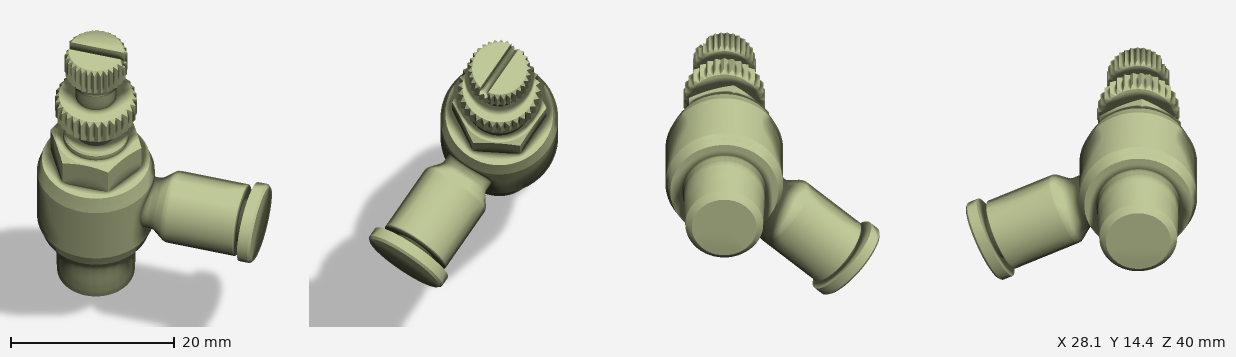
import cadquery as cq
import math

thread_chamfer_top = 0.78
thread_taper_top = 7.65
thread_flare_top = 8.28
body_bottom = 8.55
body_top = 20.5
hex_top = 24.6
collar_top = 25.55
lock_nut_bottom = 28.5
lock_nut_top = 32.05
stem_top = 34.82
knob_bottom = 35.95
knob_top = 40.05

thread_tip_radius = 3.97
thread_small_radius = 4.77
thread_large_radius = 4.98
thread_flare_radius = 5.12

body_radius = 7.2
body_end_radius = 6.6
body_lower_bevel_height = 1.78
body_upper_bevel_height = 1.98

hex_across_flats = 10.0
hex_top_radius = 4.9
hex_foot_radius = 5.4
hex_bevel_angle = 30
collar_radius = 4.0
collar_chamfer = 0.23

stem_radius = 2.5
stem_chamfer = 0.31
stem_neck_radius = 2.17

tooth_count = 30
lock_nut_radius = 5.03
lock_nut_root_radius = 4.47
lock_nut_chamfer = 0.53
lock_nut_tooth_phase = 0.0
knob_radius = 3.85
knob_root_radius = 3.35
knob_chamfer = 0.53
knob_tooth_phase = 0.5
slot_width = 1.15
slot_depth = 1.45

branch_height = 14.66
branch_neck_radius = 3.15
branch_radius = 4.47
branch_cone_start = 7.84
branch_cone_end = 9.58
branch_blend_radius = 0.96
branch_end = 18.53
branch_end_chamfer = 0.1
ring_neck_radius = 2.75
ring_start = 19.3
ring_end = 20.9
ring_half_width = 5.4
ring_half_height = 4.35
ring_chamfer = 0.3


def make_turned_core():
    """Threaded end, body, collar and stem, turned about Z."""
    profile = [
        (0, 0),
        (thread_tip_radius, 0),
        (thread_small_radius, thread_chamfer_top),
        (thread_large_radius, thread_taper_top),
        (thread_flare_radius, thread_flare_top),
        (thread_flare_radius, body_bottom),
        (body_end_radius, body_bottom),
        (body_radius, body_bottom + body_lower_bevel_height),
        (body_radius, body_top - body_upper_bevel_height),
        (body_end_radius, body_top),
        (collar_radius, body_top),
        (collar_radius, collar_top - collar_chamfer),
        (collar_radius - collar_chamfer, collar_top),
        (stem_radius, collar_top),
        (stem_radius, stem_top - stem_chamfer),
        (stem_radius - stem_chamfer, stem_top),
        (stem_neck_radius, stem_top),
        (stem_neck_radius, knob_bottom),
        (0, knob_bottom),
    ]
    return cq.Workplane("XZ").polyline(profile).close().revolve(360, (0, 0), (0, 1))


def make_hexagon():
    """Hexagon with corners on the X axis, bevelled by a cone at its top and at its foot."""
    corner_radius = hex_across_flats / 2 / math.cos(math.pi / 6)
    bevel_slope = math.tan(math.radians(hex_bevel_angle))
    top_bevel_height = (corner_radius - hex_top_radius) * bevel_slope
    foot_bevel_height = (corner_radius - hex_foot_radius) * bevel_slope
    prism = (
        cq.Workplane("XY")
        .workplane(offset=body_top)
        .polygon(6, 2 * corner_radius)
        .extrude(hex_top - body_top)
    )
    bevel_profile = [
        (0, body_top),
        (hex_foot_radius, body_top),
        (corner_radius, body_top + foot_bevel_height),
        (corner_radius, hex_top - top_bevel_height),
        (hex_top_radius, hex_top),
        (0, hex_top),
    ]
    bevel = cq.Workplane("XZ").polyline(bevel_profile).close().revolve(360, (0, 0), (0, 1))
    return prism.intersect(bevel)


def make_knurled_disc(bottom, top, tip_radius, root_radius, chamfer, phase):
    """Chamfered disc with V-shaped teeth; phase is the first tip's offset in tooth pitches."""
    pitch = 2 * math.pi / tooth_count
    outline = []
    for tooth in range(tooth_count):
        tip_angle = (tooth + phase) * pitch
        root_angle = tip_angle + pitch / 2
        outline.append((tip_radius * math.cos(tip_angle), tip_radius * math.sin(tip_angle)))
        outline.append((root_radius * math.cos(root_angle), root_radius * math.sin(root_angle)))
    height = top - bottom
    star = cq.Workplane("XY").workplane(offset=bottom).polyline(outline).close().extrude(height)
    blank = cq.Workplane("XY").workplane(offset=bottom).circle(tip_radius).extrude(height)
    return star.intersect(blank.edges().chamfer(chamfer))


def make_lock_nut():
    """Knurled lock nut around the stem."""
    return make_knurled_disc(
        lock_nut_bottom, lock_nut_top, lock_nut_radius, lock_nut_root_radius,
        lock_nut_chamfer, lock_nut_tooth_phase,
    )


def make_knob():
    """Knurled knob with a screwdriver slot along X."""
    knob = make_knurled_disc(
        knob_bottom, knob_top, knob_radius, knob_root_radius, knob_chamfer, knob_tooth_phase,
    )
    slot = (
        cq.Workplane("XY")
        .workplane(offset=knob_top - slot_depth)
        .rect(2 * knob_radius, slot_width)
        .extrude(slot_depth)
    )
    return knob.cut(slot)


def make_branch():
    """Side branch turned about X, with its cone blended at both ends."""
    profile = [
        (0, 0),
        (0, branch_neck_radius),
        (branch_cone_start, branch_neck_radius),
        (branch_cone_end, branch_radius),
        (branch_end - branch_end_chamfer, branch_radius),
        (branch_end, branch_radius - branch_end_chamfer),
        (branch_end, ring_neck_radius),
        (ring_start, ring_neck_radius),
        (ring_start, 0),
    ]
    turned = cq.Workplane("XZ").polyline(profile).close().revolve(360, (0, 0), (1, 0))
    cone_ends = cq.selectors.BoxSelector(
        (branch_cone_start - branch_blend_radius, -body_radius, -body_radius),
        (branch_cone_end + branch_blend_radius, body_radius, body_radius),
    )
    return turned.edges("%CIRCLE").edges(cone_ends).fillet(branch_blend_radius)


def make_release_ring():
    """Oval release ring, wider along Y than it is tall, chamfered on its outer face."""
    ring = (
        cq.Workplane("YZ")
        .workplane(offset=ring_start)
        .ellipse(ring_half_width, ring_half_height)
        .extrude(ring_end - ring_start)
    )
    return ring.faces(">X").edges().chamfer(ring_chamfer)


side_branch = make_branch().union(make_release_ring()).translate((0, 0, branch_height))

result = (
    make_turned_core()
    .union(make_hexagon())
    .union(make_lock_nut())
    .union(make_knob())
    .union(side_branch)
)